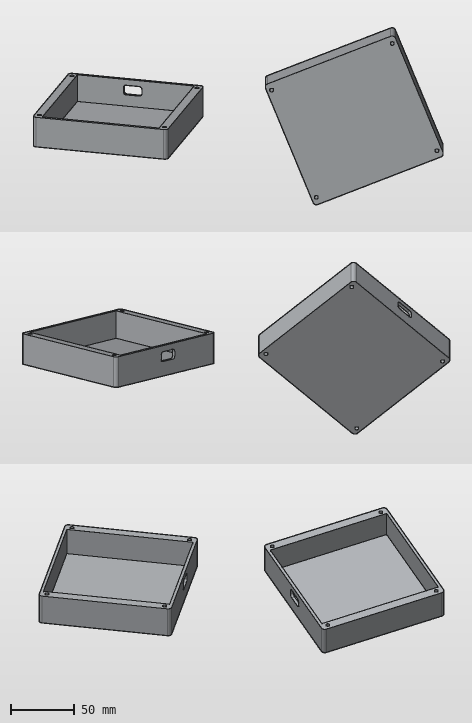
import cadquery as cq

length = 111.0
width = 107.0
height = 25.0
corner_radius = 3.0

side_wall = 7.4
end_wall = 2.5
floor_thickness = 2.5

screw_diameter = 3.0
screw_spacing_x = 103.0
screw_spacing_y = 95.0

port_width = 15.0
port_height = 8.0
port_corner_radius = 2.0
port_center_x = -2.5
port_center_z = 16.0


def make_body():
    return (
        cq.Workplane("XY")
        .box(length, width, height, centered=(True, True, False))
        .edges("|Z")
        .fillet(corner_radius)
    )


def make_cavity():
    return (
        cq.Workplane("XY", origin=(0, 0, floor_thickness))
        .rect(length - 2 * side_wall, width - 2 * end_wall)
        .extrude(height - floor_thickness)
    )


def make_screw_holes():
    return (
        cq.Workplane("XY")
        .rect(screw_spacing_x, screw_spacing_y, forConstruction=True)
        .vertices()
        .circle(screw_diameter / 2)
        .extrude(height)
    )


def make_cable_port():
    return (
        cq.Workplane("XY", origin=(port_center_x, width / 2, port_center_z))
        .box(port_width, 2 * end_wall, port_height)
        .edges("|Y")
        .fillet(port_corner_radius)
    )


result = make_body().cut(make_cavity()).cut(make_screw_holes()).cut(make_cable_port())